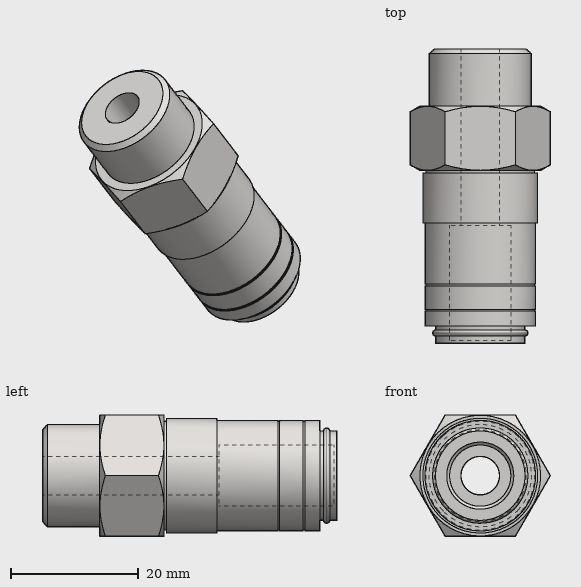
import cadquery as cq
import math

total_length = 46.0
back_end = total_length / 2
front_end = -total_length / 2

spigot_radius = 8.0
spigot_length = 8.92
spigot_chamfer_radial = 0.85
spigot_chamfer_axial = 0.75
hex_across_flats = 19.0
hex_length = 10.07
hex_face_radius = 9.45
hex_chamfer_angle = math.radians(30)

relief_radius = 8.5
relief_length = 0.35
collar_radius = 8.95
collar_end = -4.25
sleeve_radius = 8.65
sleeve_end = -20.35
groove_width = 0.28
groove_depth = 0.15
groove_centers = (-13.9, -17.85)

nose_radius = 7.0
ring_outer_radius = 7.45
ring_wire_radius = 0.5
ring_center = -21.4
through_radius = 3.0
socket_radius = 4.8
socket_depth = 18.4
socket_chamfer = 0.45

hex_back = back_end - spigot_length
hex_front = hex_back - hex_length
collar_start = hex_front - relief_length


def revolve_profile(points):
    """Turn a closed (radius, y) outline about the Y axis."""
    return cq.Workplane("XY").polyline(points).close().revolve(360, (0, 0, 0), (0, 1, 0))


def cylinder(radius, start, end):
    return revolve_profile([(0, start), (radius, start), (radius, end), (0, end)])


def make_spigot():
    return revolve_profile([
        (0, hex_back),
        (spigot_radius, hex_back),
        (spigot_radius, back_end - spigot_chamfer_axial),
        (spigot_radius - spigot_chamfer_radial, back_end),
        (0, back_end),
    ])


def make_hexagon():
    """Hexagon with corners on the X axis, both ends trimmed by cones."""
    corner_diameter = hex_across_flats / math.cos(math.pi / 6)
    corner_radius = corner_diameter / 2
    corner_drop = (corner_radius - hex_face_radius) * math.tan(hex_chamfer_angle)
    prism = (
        cq.Workplane("XZ", origin=(0, hex_back, 0))
        .polygon(6, corner_diameter)
        .extrude(hex_length)
    )
    envelope = revolve_profile([
        (0, hex_front),
        (hex_face_radius, hex_front),
        (corner_radius, hex_front + corner_drop),
        (corner_radius, hex_back - corner_drop),
        (hex_face_radius, hex_back),
        (0, hex_back),
    ])
    return prism.intersect(envelope)


def make_sleeve():
    sleeve = cylinder(sleeve_radius, sleeve_end, collar_end)
    for center in groove_centers:
        start = center - groove_width / 2
        end = center + groove_width / 2
        groove = cylinder(sleeve_radius + groove_depth, start, end).cut(
            cylinder(sleeve_radius - groove_depth, start, end)
        )
        sleeve = sleeve.cut(groove)
    return sleeve


def make_retaining_ring():
    wire_path_radius = ring_outer_radius - ring_wire_radius
    return (
        cq.Workplane("XY")
        .moveTo(wire_path_radius, ring_center)
        .circle(ring_wire_radius)
        .revolve(360, (0, 0, 0), (0, 1, 0))
    )


def make_socket():
    """Wide bore opening at the nose, with a chamfered mouth."""
    bottom = front_end + socket_depth
    return revolve_profile([
        (0, front_end),
        (socket_radius + socket_chamfer, front_end),
        (socket_radius, front_end + socket_chamfer),
        (socket_radius, bottom),
        (0, bottom),
    ])


result = (
    make_spigot()
    .union(make_hexagon())
    .union(cylinder(relief_radius, collar_start, hex_front))
    .union(cylinder(collar_radius, collar_end, collar_start))
    .union(make_sleeve())
    .union(cylinder(nose_radius, front_end, sleeve_end))
    .union(make_retaining_ring())
    .cut(make_socket())
    .cut(cylinder(through_radius, front_end, back_end))
)